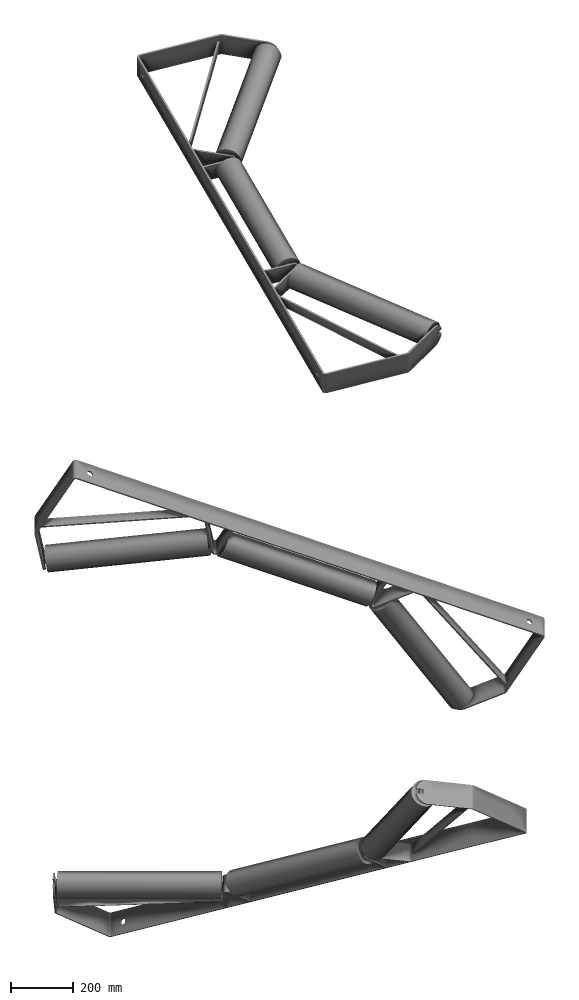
import cadquery as cq
import math

frame_length = 1680.0
strip_height = 80.0
sheet = 6.0
bend_radius = 12.0
side_depth = 292.0
trough_angle = 35.0
ear_reach = 158.0
ear_length = 192.0

roller_radius = 44.5
roller_length = 528.0
cap_recess_radius = 42.0
cap_recess_depth = 5.0
hub_radius = 18.0
hub_clearance = 3.0
shaft_width = 17.0
outer_gap = 8.0
inner_gap = 5.0
center_gap = 7.0
center_axis_y = 99.0
axis_drop = 7.0

bracket_height = 60.0

brace_height = 34.0
brace_angle = 31.5
brace_top_y = 284.0

mount_hole_diameter = 20.0
mount_hole_inset = 57.0

half_length = frame_length / 2
mid_z = strip_height / 2
center_axis_z = mid_z - axis_drop
tan_trough = math.tan(math.radians(trough_angle))

inward = cq.Vector(math.cos(math.radians(trough_angle)), -math.sin(math.radians(trough_angle)), 0)
upward = cq.Vector(-inward.y, inward.x, 0)

ear_bend = cq.Vector(-half_length, side_depth, mid_z)
ear_seat = ear_bend + upward * ear_reach
wing_outer_end = ear_seat + inward * (sheet + outer_gap)
wing_inner_end = wing_outer_end + inward * roller_length + cq.Vector(0, 0, -axis_drop)
bracket_seat = wing_inner_end + inward * (inner_gap + sheet)

leg_x = -(roller_length / 2 + center_gap + sheet)
center_left_end = cq.Vector(-roller_length / 2, center_axis_y, center_axis_z)
center_right_end = center_left_end + cq.Vector(roller_length, 0, 0)


def mirrored(body):
    """Opposite-hand copy on the +X side."""
    return body.mirror("YZ")


def extruded(points, bottom=0.0, height=strip_height):
    """Upright prism on a closed (x, y) outline."""
    return cq.Workplane("XY", origin=(0, 0, bottom)).polyline(points).close().extrude(height)


def rounded(body, corner, middle_z, radius):
    """Fillet the upright edge nearest to an (x, y) corner."""
    edge = cq.selectors.NearestToPointSelector((*corner, middle_z))
    return body.edges("|Z").edges(edge).fillet(radius)


def make_roller(start, end, start_gap, end_gap):
    """Roller with recessed ends, hubs, and a square shaft that reaches through both sheets."""
    axis = (end - start).normalized()
    length = (end - start).Length
    start_reach = start_gap + sheet
    hub_reach = start_gap - hub_clearance
    end_reach = end_gap + sheet
    shaft_start = start - axis * start_reach
    side = cq.Vector(0, 0, 1).cross(axis)
    tube = cq.Workplane(cq.Plane(start, side, axis)).circle(roller_radius).extrude(length)
    recess = cq.Workplane(cq.Plane(start, side, axis)).circle(cap_recess_radius).extrude(cap_recess_depth)
    far_recess = recess.translate(axis * (length - cap_recess_depth))
    hub = (
        cq.Workplane(cq.Plane(start - axis * hub_reach, side, axis))
        .circle(hub_radius)
        .extrude(hub_reach + length + end_gap - hub_clearance)
    )
    shaft = (
        cq.Workplane(cq.Plane(shaft_start, side, axis))
        .rect(shaft_width, shaft_width)
        .extrude(start_reach + length + end_reach)
    )
    return tube.cut(recess).cut(far_recess).union(hub).union(shaft)


def make_ear():
    """Left ear: inclined strip with a round tip and an open slot for the shaft."""
    plane = cq.Plane(ear_bend, upward, inward)
    straight = ear_length - mid_z
    ear = (
        cq.Workplane(plane)
        .moveTo(0, -mid_z)
        .lineTo(straight, -mid_z)
        .threePointArc((ear_length, 0), (straight, mid_z))
        .lineTo(0, mid_z)
        .close()
        .extrude(sheet)
    )
    slot_start = ear_reach - shaft_width / 2
    slot_length = ear_length - slot_start
    slot = (
        cq.Workplane(plane)
        .center(slot_start + slot_length / 2, 0)
        .rect(slot_length, shaft_width)
        .extrude(sheet)
    )
    return ear.cut(slot)


def make_frame():
    """Base, two sides and two ears of one bent strip."""
    inner_x = half_length - sheet
    inner_bend_y = side_depth - sheet * math.tan(math.radians(trough_angle) / 2)
    outline = [
        (-half_length, side_depth), (-half_length, 0), (half_length, 0), (half_length, side_depth),
        (inner_x, inner_bend_y), (inner_x, sheet), (-inner_x, sheet), (-inner_x, inner_bend_y),
    ]
    channel = extruded(outline)
    ear = make_ear()
    strip = channel.union(ear).union(mirrored(ear))
    for side in (-1, 1):
        outer_bends = [(side * half_length, 0), (side * half_length, side_depth)]
        inner_bends = [(side * inner_x, sheet), (side * inner_x, inner_bend_y)]
        for outer_bend, inner_bend in zip(outer_bends, inner_bends):
            strip = rounded(strip, outer_bend, mid_z, bend_radius)
            strip = rounded(strip, inner_bend, mid_z, bend_radius - sheet)
    holes = (
        cq.Workplane("XZ", origin=(0, 0, mid_z))
        .pushPoints([(half_length - mount_hole_inset, 0), (mount_hole_inset - half_length, 0)])
        .circle(mount_hole_diameter / 2)
        .extrude(-sheet)
    )
    return strip.cut(holes)


def make_bracket(wing_roller, center_roller):
    """Left inner bracket: upright leg and inclined arm, bent from one strip."""
    def arm_x(y):
        """X of the arm's inward face at a given Y."""
        return bracket_seat.x + (y - bracket_seat.y) * tan_trough

    arm_width = sheet / inward.x
    leg_right_x = leg_x + sheet
    inside_top = bracket_seat.y + (leg_x - bracket_seat.x) / tan_trough
    outside_top = bracket_seat.y + (leg_right_x + arm_width - bracket_seat.x) / tan_trough
    outline = [
        (leg_x, sheet), (leg_x, inside_top), (arm_x(sheet), sheet),
        (arm_x(sheet) - arm_width, sheet), (leg_right_x, outside_top), (leg_right_x, sheet),
    ]
    bracket = extruded(outline, height=bracket_height)
    bracket = rounded(bracket, (leg_x, inside_top), bracket_height / 2, bend_radius - sheet)
    bracket = rounded(bracket, (leg_right_x, outside_top), bracket_height / 2, bend_radius)
    return bracket.cut(wing_roller).cut(center_roller)


def make_brace():
    """Left brace: slanted bar between the frame side and base."""
    slope = math.tan(math.radians(brace_angle))
    drop = sheet / math.cos(math.radians(brace_angle))
    side_x = sheet - half_length
    upper_x = side_x + (brace_top_y - sheet) / slope
    outline = [
        (side_x, brace_top_y), (upper_x, sheet),
        (upper_x - drop / slope, sheet), (side_x, brace_top_y - drop),
    ]
    return extruded(outline, mid_z - brace_height / 2, brace_height)


center_roller = make_roller(center_left_end, center_right_end, center_gap, center_gap)
wing_roller = make_roller(wing_outer_end, wing_inner_end, outer_gap, inner_gap)
frame = make_frame().cut(wing_roller).cut(mirrored(wing_roller))
bracket = make_bracket(wing_roller, center_roller)
brace = make_brace()

bodies = [frame.val(), center_roller.val()]
for left_body in (wing_roller, bracket, brace):
    bodies += [left_body.val(), mirrored(left_body).val()]

result = cq.Compound.makeCompound(bodies)